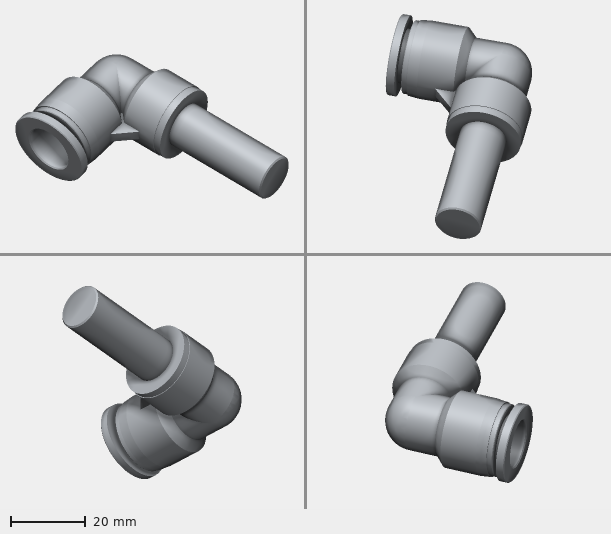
import cadquery as cq

ELBOW_RADIUS = 8.1
SHOULDER_START = 8.45
PORT_SLEEVE_RADIUS = 21.2 / 2
STEM_SLEEVE_RADIUS = 21.0 / 2
SLEEVE_END = 20.9
OVERALL_DEPTH = 39.8
COLLAR_RADIUS = 20.6 / 2
COLLAR_END = 23.0

TAPER_END = 23.85
MOUTH_RADIUS = 20.0 / 2
MOUTH_END = 25.4
MOUTH_CHAMFER = 0.2

GUSSET_THICKNESS = 3.0
GUSSET_REACH = 26.45

STEM_RADIUS = 12.7 / 2
STEM_END = 54.0
STEM_CHAMFER = 0.4

BORE_RADIUS = 13.0 / 2
BORE_CHAMFER = 0.3
NECK_RADIUS = 14.8 / 2
FLANGE_WIDTH = 23.05
FLANGE_HEIGHT = 20.5
FLANGE_START = 27.0
BUTTON_END = OVERALL_DEPTH - STEM_SLEEVE_RADIUS
FLANGE_CHAMFER = 0.25
BUTTON_INNER_END = 24.0
BORE_FLOOR = 13.1


def port_workplane(distance):
    """XZ workplane on the port axis, whose normal points out of the port."""
    return cq.Workplane("XZ", origin=(0, -distance, 0))


def sleeve_outline(sleeve_radius):
    """Radius and distance points of an arm, with a 45 degree shoulder before its sleeve."""
    shoulder_end = SHOULDER_START + sleeve_radius - ELBOW_RADIUS
    return [
        (0, 0),
        (ELBOW_RADIUS, 0),
        (ELBOW_RADIUS, SHOULDER_START),
        (sleeve_radius, shoulder_end),
        (sleeve_radius, SLEEVE_END),
    ]


def make_port_arm():
    points = sleeve_outline(PORT_SLEEVE_RADIUS) + [
        (COLLAR_RADIUS, TAPER_END),
        (MOUTH_RADIUS, TAPER_END),
        (MOUTH_RADIUS, MOUTH_END - MOUTH_CHAMFER),
        (MOUTH_RADIUS - MOUTH_CHAMFER, MOUTH_END),
        (0, MOUTH_END),
    ]
    outline = [(radius, -distance) for radius, distance in points]
    return cq.Workplane("XY").polyline(outline).close().revolve(360, (0, 0), (0, 1))


def make_stem_arm():
    points = sleeve_outline(STEM_SLEEVE_RADIUS) + [
        (COLLAR_RADIUS, SLEEVE_END),
        (COLLAR_RADIUS, COLLAR_END),
        (0, COLLAR_END),
    ]
    outline = [(distance, radius) for radius, distance in points]
    return cq.Workplane("XY").polyline(outline).close().revolve(360, (0, 0), (1, 0))


def make_gusset():
    corner = ELBOW_RADIUS
    tip = GUSSET_REACH - corner
    return (
        cq.Workplane("XY")
        .polyline([(corner, -corner), (tip, -corner), (corner, -tip)])
        .close()
        .extrude(GUSSET_THICKNESS / 2, both=True)
    )


def make_housing():
    elbow = cq.Workplane("XY").sphere(ELBOW_RADIUS)
    neck_socket = port_workplane(BUTTON_INNER_END).circle(NECK_RADIUS).extrude(MOUTH_END - BUTTON_INNER_END)
    bore = port_workplane(BORE_FLOOR).circle(BORE_RADIUS).extrude(BUTTON_INNER_END - BORE_FLOOR)
    solid = elbow.union(make_port_arm()).union(make_stem_arm()).union(make_gusset())
    return solid.cut(neck_socket).cut(bore)


def make_stem():
    """Round stem that starts on the end face of the housing collar."""
    return (
        cq.Workplane("YZ", origin=(COLLAR_END, 0, 0))
        .circle(STEM_RADIUS)
        .extrude(STEM_END - COLLAR_END)
        .faces(">X")
        .chamfer(STEM_CHAMFER)
    )


def make_release_button():
    """Tubular neck with an oval flange, bored through."""
    flange = (
        port_workplane(FLANGE_START)
        .ellipse(FLANGE_WIDTH / 2, FLANGE_HEIGHT / 2)
        .extrude(BUTTON_END - FLANGE_START)
        .faces("<Y")
        .chamfer(FLANGE_CHAMFER)
    )
    length = BUTTON_END - BUTTON_INNER_END
    neck = port_workplane(BUTTON_INNER_END).circle(NECK_RADIUS).extrude(FLANGE_START - BUTTON_INNER_END)
    bore = port_workplane(BUTTON_INNER_END).circle(BORE_RADIUS).extrude(length)
    button = flange.union(neck).cut(bore)
    return button.faces("<Y").edges("%CIRCLE").chamfer(BORE_CHAMFER)


housing = make_housing()
stem = make_stem()
release_button = make_release_button()

result = cq.Compound.makeCompound([housing.val(), stem.val(), release_button.val()])